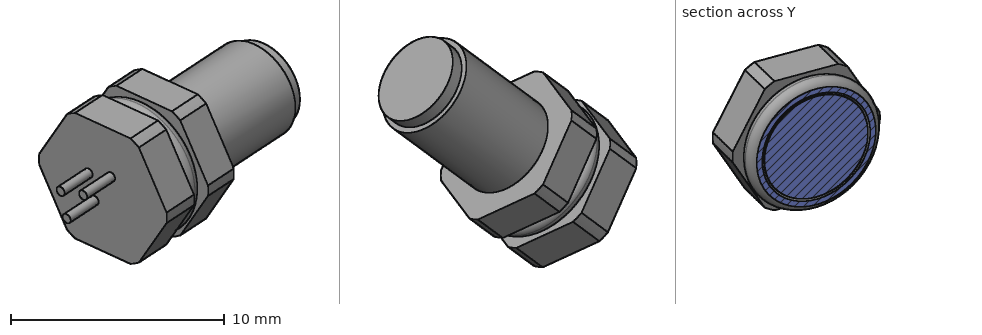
import cadquery as cq
import math

total_length = 13.76
pin_length = 2.04
flange_thickness = 2.0
ring_thickness = 1.02
nut_thickness = 1.89
tip_length = 0.67

across_flats = 7.03
corner_diameter = 7.8
ring_diameter = across_flats
neck_diameter = 5.5
barrel_diameter = 5.0
tip_diameter = 4.43
pin_diameter = 0.5
pin_circle_radius = 1.0
pin_angles = (60, 150, 240)

flange_start = pin_length
ring_start = flange_start + flange_thickness
nut_start = ring_start + ring_thickness
barrel_start = nut_start + nut_thickness
barrel_end = total_length - tip_length


def cylinder(diameter, start, end, x=0, z=0):
    """Round bar along Y between two stations."""
    plane = cq.Workplane("XZ", origin=(x, start, z))
    return plane.circle(diameter / 2).extrude(start - end)


def rounded_hex(start, thickness):
    """Hexagon with corners on +X and -X, turned down to the corner diameter."""
    sharp_diameter = across_flats / math.cos(math.pi / 6)
    plane = cq.Workplane("XZ", origin=(0, start, 0))
    hexagon = plane.polygon(6, sharp_diameter).extrude(-thickness)
    return hexagon.intersect(cylinder(corner_diameter, start, start + thickness))


def sealing_ring():
    """O-ring filling the gap between flange and nut."""
    section_radius = ring_thickness / 2
    ring_center = ring_diameter / 2 - section_radius
    section = cq.Workplane("XY").center(ring_center, ring_start + section_radius)
    return section.circle(section_radius).revolve(360, (-ring_center, 0), (-ring_center, 1))


result = rounded_hex(flange_start, flange_thickness)
result = result.union(rounded_hex(nut_start, nut_thickness))

result = result.union(cylinder(neck_diameter, ring_start, nut_start))
result = result.union(sealing_ring())

result = result.union(cylinder(barrel_diameter, barrel_start, barrel_end))
result = result.union(cylinder(tip_diameter, barrel_end, total_length))

for angle in pin_angles:
    pin_x = pin_circle_radius * math.cos(math.radians(angle))
    pin_z = pin_circle_radius * math.sin(math.radians(angle))
    result = result.union(cylinder(pin_diameter, 0, flange_start, pin_x, pin_z))